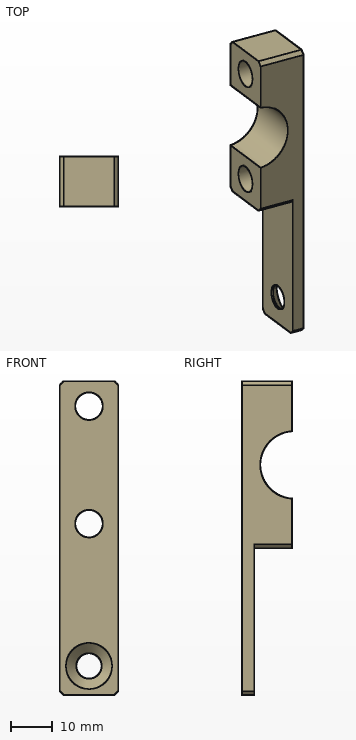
import cadquery as cq

width = 14.0
depth = 12.0
height = 75.0
plate_thickness = 3.0
block_height = 40.0
corner_chamfer = 1.0

saddle_radius = 8.0
saddle_depth = 7.6
saddle_from_top = 20.0

bolt_hole_diameter = 6.5
bolt_hole_from_top = 6.0
bolt_hole_heights = [
    height - bolt_hole_from_top,
    height - 2 * saddle_from_top + bolt_hole_from_top,
]

screw_hole_diameter = 6.0
countersink_diameter = 11.0
countersink_angle = 90
screw_hole_height = 7.0


def chamfered_slab(bottom, thickness):
    """Slab from the front face to the given depth, its X-Z corners chamfered."""
    slab_height = height - bottom
    return (
        cq.Workplane("XY")
        .box(width, thickness, slab_height, centered=(True, False, False))
        .translate((0, 0, bottom))
        .edges("|Y")
        .chamfer(corner_chamfer)
    )


def front_plane(z):
    """Workplane on the front face at height z, facing outward."""
    return cq.Workplane("XZ", origin=(0, 0, z))


plate = chamfered_slab(0, plate_thickness)
block_envelope = chamfered_slab(height - block_height, depth)
block_trim = cq.Workplane("XY").box(width, plate_thickness, height, centered=(True, False, False))
block = block_envelope.cut(block_trim)
body = plate.union(block)

saddle_axis_y = depth - saddle_depth + saddle_radius
saddle = (
    cq.Workplane("YZ")
    .center(saddle_axis_y, height - saddle_from_top)
    .circle(saddle_radius)
    .extrude(width, both=True)
)
body = body.cut(saddle)

for hole_height in bolt_hole_heights:
    bolt_hole = front_plane(hole_height).circle(bolt_hole_diameter / 2).extrude(-depth)
    body = body.cut(bolt_hole)

result = (
    body.faces("<Y")
    .workplane(origin=(0, 0, screw_hole_height))
    .cskHole(screw_hole_diameter, countersink_diameter, countersink_angle, depth=plate_thickness)
)